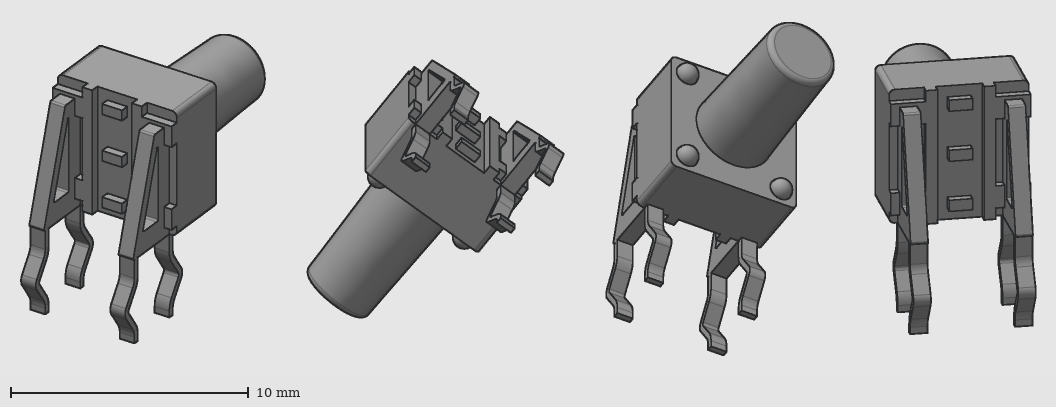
import cadquery as cq
import math


body_side = 6.0
body_depth = 3.0
body_corner_radius = 0.25

stem_length = 6.0
stem_base_radius = 1.8
stem_tip_radius = 1.6
stem_tip_fillet = 0.25
dome_radius = 0.5
corner_pitch = 4.5

standoff_height = 0.4
rail_inner_x = 1.0
rail_outer_x = 1.5
foot_inner_z = 1.5
foot_outer_z = 2.5
pad_width = 1.0
pad_height = 0.5
pad_pitch = 2.25

strip_width = 0.75
strip_thickness = 0.27
leg_pitch = 2.66
leg_length = 4.03
kink_angle = 34.3
kink_straight_height = 0.75
kink_shoulder_radius = 0.86
kink_peak_radius = 0.32
kink_tip_straight = 0.32

bracket_top_z = 2.33
bracket_top_depth = 1.14
bracket_bottom_depth = 2.78
bracket_corner_radius = 0.1
window_back_offset = 0.86
window_top_z = 1.6
window_bottom_z = -1.96
strut_width = 0.43
window_corner_radius = 0.08

half_side = body_side / 2
body_back_y = -body_depth
corner_offsets = (-corner_pitch / 2, corner_pitch / 2)


def block(x_range, y_range, z_range):
    """Box between the given limits."""
    limits = (x_range, y_range, z_range)
    sizes = [high - low for low, high in limits]
    corner = tuple(low for low, high in limits)
    return cq.Workplane("XY").box(*sizes, centered=False).translate(corner)


def extrude_strip(profile, center_x):
    """Extrude a YZ profile to the strip width, centred on center_x."""
    return profile.extrude(strip_width / 2, both=True).translate((center_x, 0, 0))


def make_housing():
    housing = block((-half_side, half_side), (body_back_y, 0), (-half_side, half_side))
    return housing.edges("|Y").fillet(body_corner_radius)


def make_stem():
    stem = (
        cq.Workplane("YZ")
        .polyline([(0, 0), (0, stem_base_radius), (stem_length, stem_tip_radius), (stem_length, 0)])
        .close()
        .revolve(360, (0, 0, 0), (1, 0, 0))
    )
    return stem.faces(">Y").edges().fillet(stem_tip_fillet)


def make_dome(x, z):
    return cq.Workplane("XY").sphere(dome_radius).translate((x, 0, z))


def make_standoffs():
    y_range = (body_back_y - standoff_height, body_back_y)
    parts = []
    for side in (-1, 1):
        rail_range = sorted((side * rail_inner_x, side * rail_outer_x))
        parts.append(block(rail_range, y_range, (-half_side, half_side)))
        foot_range = sorted((side * rail_outer_x, side * half_side))
        for end in (-1, 1):
            z_range = sorted((end * foot_inner_z, end * foot_outer_z))
            parts.append(block(foot_range, y_range, z_range))
    for row in (-1, 0, 1):
        pad_z = row * pad_pitch
        z_range = (pad_z - pad_height / 2, pad_z + pad_height / 2)
        parts.append(block((-pad_width / 2, pad_width / 2), y_range, z_range))
    return parts


def make_leg(center_x, center_y, kink_side):
    """Leg hanging from the housing bottom, with its kink towards kink_side along Y."""
    angle = math.radians(kink_angle)
    shoulder_height = kink_shoulder_radius * math.sin(angle)
    shoulder_reach = kink_shoulder_radius * (1 - math.cos(angle))
    peak_half_height = kink_peak_radius * math.sin(angle)
    peak_reach = kink_peak_radius * (1 - math.cos(angle))
    slope_reach = kink_straight_height * math.tan(angle)

    tip_z = -half_side - leg_length
    lower_bend_z = tip_z + kink_tip_straight
    lower_slope_z = lower_bend_z + shoulder_height
    lower_peak_z = lower_slope_z + kink_straight_height
    peak_z = lower_peak_z + peak_half_height

    def side_y(reach):
        return center_y + kink_side * reach

    def mirrored(z):
        return 2 * peak_z - z

    mid_reach = kink_shoulder_radius * (1 - math.cos(angle / 2))
    mid_z = lower_bend_z + kink_shoulder_radius * math.sin(angle / 2)
    slope_end = shoulder_reach + slope_reach
    path = (
        cq.Workplane("YZ")
        .moveTo(center_y, tip_z)
        .lineTo(center_y, lower_bend_z)
        .threePointArc((side_y(mid_reach), mid_z), (side_y(shoulder_reach), lower_slope_z))
        .lineTo(side_y(slope_end), lower_peak_z)
        .threePointArc(
            (side_y(slope_end + peak_reach), peak_z),
            (side_y(slope_end), mirrored(lower_peak_z)),
        )
        .lineTo(side_y(shoulder_reach), mirrored(lower_slope_z))
        .threePointArc((side_y(mid_reach), mirrored(mid_z)), (center_y, mirrored(lower_bend_z)))
        .lineTo(center_y, -half_side)
    )
    section = cq.Workplane("XY", origin=(0, center_y, tip_z)).rect(strip_width, strip_thickness)
    return section.sweep(path).translate((center_x, 0, 0))


def make_bracket(center_x):
    top_y = body_back_y - bracket_top_depth
    bottom_y = body_back_y - bracket_bottom_depth
    outline = [
        (body_back_y, -half_side),
        (body_back_y, bracket_top_z),
        (top_y, bracket_top_z),
        (bottom_y, -half_side),
    ]
    bracket = extrude_strip(cq.Workplane("YZ").polyline(outline).close(), center_x)
    strut_corners = ((center_x, top_y, bracket_top_z), (center_x, bottom_y, -half_side))
    for corner in strut_corners:
        corner_edge = bracket.edges(cq.selectors.NearestToPointSelector(corner))
        bracket = corner_edge.fillet(bracket_corner_radius)

    slope = (bottom_y - top_y) / (-half_side - bracket_top_z)

    def strut_inner_y(z):
        return top_y + slope * (z - bracket_top_z) + strut_width

    window_y = body_back_y - window_back_offset
    window_outline = [
        (window_y, window_bottom_z),
        (window_y, window_top_z),
        (strut_inner_y(window_top_z), window_top_z),
        (strut_inner_y(window_bottom_z), window_bottom_z),
    ]
    window = extrude_strip(cq.Workplane("YZ").polyline(window_outline).close(), center_x)
    window = window.faces("<Z").edges("|X").fillet(window_corner_radius)
    return bracket.cut(window)


def make_terminals(center_x):
    """One bracket with its back leg and the front leg below the housing."""
    front_leg_y = body_back_y + strip_thickness / 2
    back_leg_y = front_leg_y - leg_pitch
    return [
        make_bracket(center_x),
        make_leg(center_x, front_leg_y, 1),
        make_leg(center_x, back_leg_y, -1),
    ]


result = make_housing().union(make_stem())
for x in corner_offsets:
    for z in corner_offsets:
        result = result.union(make_dome(x, z))
for standoff in make_standoffs():
    result = result.union(standoff)
for x in corner_offsets:
    for terminal in make_terminals(x):
        result = result.union(terminal)